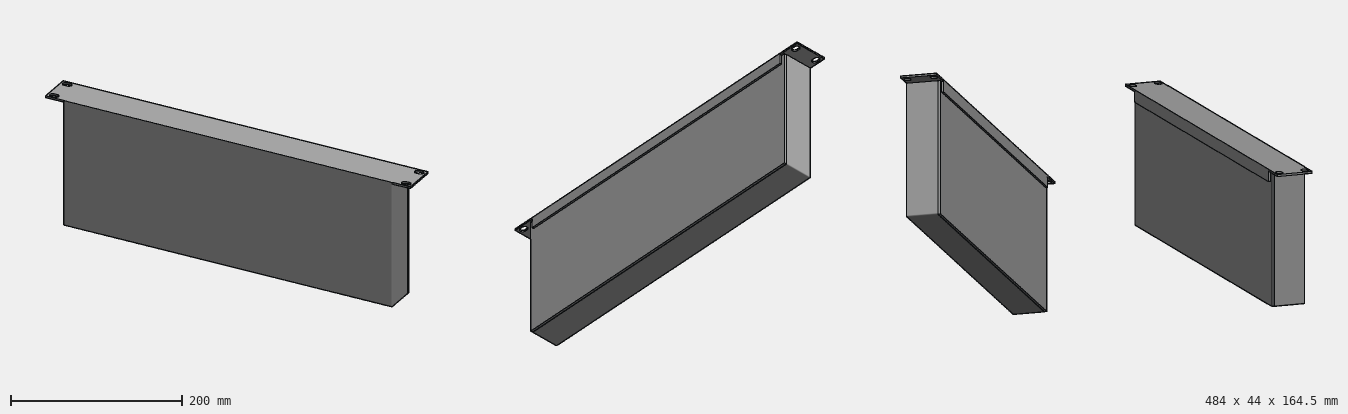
import cadquery as cq

panel_length = 484.0
panel_depth = 43.5
panel_thickness = 2.5

overall_depth = 44.0
overall_height = 164.5
box_length = 436.5
bend_radius = 1.5
cover_thickness = 3.0
cover_inset = 0.5

lip_thickness = 2.5
lip_height = 12.5
lip_length = 426.0

slot_length = 11.0
slot_width = 7.5
slot_spacing_x = 467.0
slot_spacing_y = 32.0

rear_y = overall_depth / 2
front_y = -overall_depth / 2
top_z = overall_height / 2
bottom_z = -overall_height / 2
panel_bottom_z = top_z - panel_thickness
panel_center_y = rear_y - panel_depth / 2
box_rear_y = rear_y - lip_thickness
cover_front_y = box_rear_y - cover_thickness


def block(length, y_range, z_range):
    """Box centred on X = 0 between the given Y and Z limits."""
    y_min, y_max = y_range
    z_min, z_max = z_range
    return (
        cq.Workplane("XY", origin=(0, (y_min + y_max) / 2, z_min))
        .rect(length, y_max - y_min)
        .extrude(z_max - z_min)
    )


def make_panel():
    plate = block(panel_length, (rear_y - panel_depth, rear_y), (panel_bottom_z, top_z))
    slots = (
        cq.Workplane("XY", origin=(0, panel_center_y, panel_bottom_z))
        .rarray(slot_spacing_x, slot_spacing_y, 2, 2)
        .slot2D(slot_length, slot_width)
        .extrude(panel_thickness)
    )
    return plate.cut(slots)


def make_enclosure():
    """Main shell with bent front corners and bottom edges; its front face runs up to the panel top."""
    shell = block(box_length, (front_y, cover_front_y), (bottom_z, top_z))
    return shell.edges("(|Z and <Y) or (<Z and (not >Y))").fillet(bend_radius)


def make_rear_cover():
    """Rear plate, slightly narrower than the shell so a seam shows around it."""
    return block(
        box_length - 2 * cover_inset,
        (cover_front_y, box_rear_y),
        (bottom_z + cover_inset, panel_bottom_z),
    )


def make_lip():
    return block(
        lip_length,
        (box_rear_y, rear_y),
        (panel_bottom_z - lip_height, panel_bottom_z),
    )


result = make_panel().union(make_enclosure()).union(make_rear_cover()).union(make_lip())